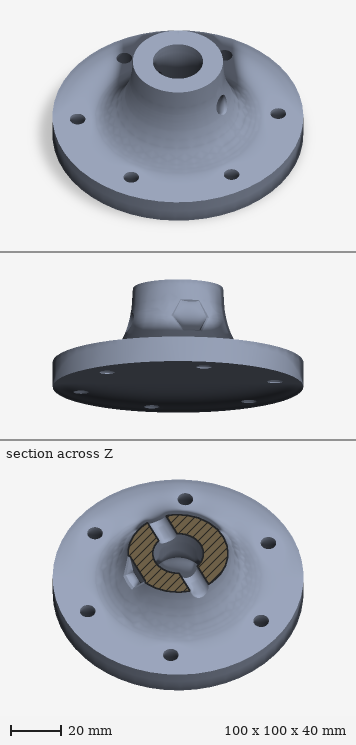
import cadquery as cq

flange_diameter = 100.0
flange_thickness = 10.0
bolt_circle_diameter = 80.0
bolt_hole_diameter = 6.2
bolt_count = 6

total_height = 40.0
hub_top_radius = 18.0
hub_base_radius = 33.0
hub_height = total_height - flange_thickness
flare_width = hub_base_radius - hub_top_radius
bore_diameter = 20.0
bore_depth = hub_height

cross_height = flange_thickness + hub_height / 2
cross_hole_diameter = 8.0
nut_corner_diameter = 14.0
nut_floor_y = 18.0
rim_chamfer = 0.7
chamfer_clearance = 3.0


def make_flange():
    """Round plate with a ring of bolt holes, one of them on the Y axis."""
    plate = cq.Workplane("XY").circle(flange_diameter / 2).extrude(flange_thickness)
    holes = (
        cq.Workplane("XY")
        .polarArray(bolt_circle_diameter / 2, 90, 360, bolt_count)
        .circle(bolt_hole_diameter / 2)
        .extrude(flange_thickness)
    )
    return plate.cut(holes)


def make_hub():
    """Revolved hub whose side is a quarter ellipse, vertical at the top and flat at the base."""
    overlap_z = flange_thickness / 2
    flare = cq.Edge.makeEllipse(
        hub_height,
        flare_width,
        pnt=cq.Vector(hub_base_radius, total_height, 0),
        dir=cq.Vector(0, 0, 1),
        xdir=cq.Vector(0, -1, 0),
        angle1=270,
        angle2=360,
    )
    corners = [
        (hub_base_radius, flange_thickness, 0),
        (hub_base_radius, overlap_z, 0),
        (0, overlap_z, 0),
        (0, total_height, 0),
        (hub_top_radius, total_height, 0),
    ]
    sides = [cq.Edge.makeLine(cq.Vector(*a), cq.Vector(*b)) for a, b in zip(corners, corners[1:])]
    profile = cq.Wire.assembleEdges(sides + [flare])
    hub = cq.Solid.revolve(profile, [], 360, cq.Vector(0, 0, 0), cq.Vector(0, 1, 0))
    return cq.Workplane(obj=hub.rotate(cq.Vector(0, 0, 0), cq.Vector(1, 0, 0), 90))


def make_bore():
    """Blind central bore, open at the top."""
    bore = cq.Workplane("XY").workplane(offset=total_height - bore_depth)
    return bore.circle(bore_diameter / 2).extrude(bore_depth)


def make_cross_hole():
    """Hole along X through both walls of the hub."""
    hole = cq.Workplane("YZ").center(0, cross_height).circle(cross_hole_diameter / 2)
    return hole.extrude(hub_base_radius, both=True)


def cut_nut_pocket(body):
    """Cut the hexagonal pocket on the +Y side, with two horizontal flats and a chamfered rim."""
    deep_y = nut_floor_y - chamfer_clearance
    plane = cq.Plane(origin=(0, deep_y, cross_height), xDir=(1, 0, 0), normal=(0, 1, 0))
    hexagon = cq.Workplane(plane).polygon(6, nut_corner_diameter)
    pocketed = body.cut(hexagon.extrude(hub_base_radius - deep_y))

    search_box = cq.selectors.BoxSelector(
        (-nut_corner_diameter / 2, nut_floor_y, cross_height - nut_corner_diameter / 2),
        (nut_corner_diameter / 2, hub_base_radius, cross_height + nut_corner_diameter / 2),
    )
    chamfered = pocketed.edges(search_box).edges("not %LINE").chamfer(rim_chamfer)

    fill_block = (
        cq.Workplane(plane)
        .rect(2 * nut_corner_diameter, 2 * nut_corner_diameter)
        .extrude(chamfer_clearance)
    )
    return chamfered.union(fill_block.intersect(body))


body = make_flange().union(make_hub())
body = body.cut(make_bore()).cut(make_cross_hole())
result = cut_nut_pocket(body)